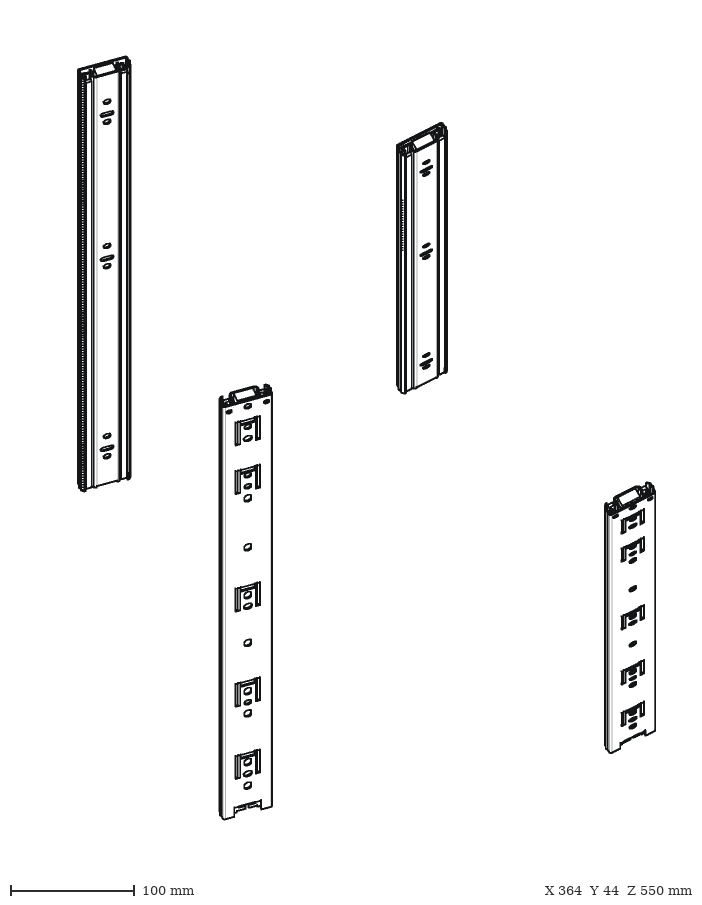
import cadquery as cq

PAIR_WIDTH = 364.0
RAIL_LENGTH = 550.0
TOP = RAIL_LENGTH / 2
BOTTOM = -TOP

SHEET = 1.4
SLIDE_DEPTH = 12.5
RAIL_GAP = 0.3
RACE_START = 4.1
RACE_END = 7.0
RACE_MIDDLE = (RACE_START + RACE_END) / 2

OVERALL_HALF_WIDTH = 22.0
OUTER_RACE_DEPTH = 0.8
OUTER_HALF_WIDTH = OVERALL_HALF_WIDTH - OUTER_RACE_DEPTH
OUTER_BEND = 1.5
LIP = 1.9
OUTER_FLANGE_END = SLIDE_DEPTH - SHEET

MIDDLE_HALF_WIDTH = 17.5
MIDDLE_WEB = SHEET + RAIL_GAP
MIDDLE_BEND = 1.5
MIDDLE_FLANGE_END = OUTER_FLANGE_END
MIDDLE_HEM = 2 * SHEET
INWARD_RACE_DEPTH = 0.65

BALL_CHANNEL = 4.0
INNER_HALF_WIDTH = MIDDLE_HALF_WIDTH - SHEET - BALL_CHANNEL
INNER_BEND = 3.5
INNER_FLANGE_END = MIDDLE_WEB + SHEET + 2 * RAIL_GAP

MIDDLE_TOP = TOP - 5.5
NESTED_BOTTOM = BOTTOM + 3.0
OUTER_NOTCH_HALF_WIDTH = 11.5
OUTER_NOTCH_TOP = BOTTOM + 12.0
NESTED_NOTCH_HALF_WIDTH = 9.0
NESTED_NOTCH_TOP = BOTTOM + 4.5
END_WINDOW_HALF_WIDTH = 7.0
END_WINDOW_BOTTOM = BOTTOM + 8.0
END_WINDOW_TOP = BOTTOM + 10.5
END_SLIT_WIDTH = 3.0

TONGUE_TOPS = (250.0, 185.5, 28.5, -98.5, -194.5)
TONGUE_HEIGHT = 30.0
TONGUE_HALF_WIDTH = 8.0
TONGUE_SLOT_WIDTH = 2.0
TONGUE_BEVEL = 1.5
TONGUE_BEVEL_DEPTH = 0.8
WINDOW_HALF_WIDTH = 6.0
WINDOW_HEIGHT = 5.5

MOUNTING_DIAMETER = 6.0
ROUND_HOLE_HEIGHTS = (268.0, 240.5, 176.0, 161.0, -127.0)
WIDE_HOLE_DIAMETER = 7.0
WIDE_HOLE_HEIGHTS = (225.0, 1.0, -222.0)
SLOT_LENGTH = 9.0
SLOT_HEIGHTS = (145.0, 80.0, 16.0, -48.0, -112.0, -142.0, -207.0, -238.0)
CORNER_HOLE_DIAMETER = 4.5
CORNER_HOLE_OFFSET = 16.0
CORNER_HOLE_HEIGHT = 267.5

INNER_GROUP_TOPS = (238.5, 46.0, -207.5)
CROSS_SLOT_DROP = 16.5
LOWER_HOLE_DROP = 27.0
INNER_HOLE_DIAMETER = 6.0
CROSS_SLOT_LENGTH = 11.0
CROSS_SLOT_WIDTH = 5.0

STOP_HALF_WIDTH = 8.0
STOP_LENGTH = 11.0


def box(x_range, y_range, z_range):
    """Axis-aligned block between the given limits."""
    (x0, x1), (y0, y1), (z0, z1) = x_range, y_range, z_range
    return cq.Workplane("XY").box(x1 - x0, y1 - y0, z1 - z0, centered=False).translate((x0, y0, z0))


def web_cutter(points, diameter):
    """Round cutters along X through a whole slide, at (y, z) points."""
    return cq.Workplane("YZ").pushPoints(points).circle(diameter / 2).extrude(SLIDE_DEPTH)


def slot_cutter(points, length, width, angle):
    """Rounded slot cutters along X through a whole slide; angle 0 lies along Y, 90 along Z."""
    return cq.Workplane("YZ").pushPoints(points).slot2D(length, width, angle).extrude(SLIDE_DEPTH)


def half_channel(web, end, half_width, race_depth, bottom, top):
    """+Y half of a channel rail, with its web face at x = web and its flange reaching x = end."""
    opens_forward = end > web
    web_inside = web + SHEET if opens_forward else web - SHEET
    near, far = (RACE_START, RACE_END) if opens_forward else (RACE_END, RACE_START)
    inner_half_width = half_width - SHEET
    return (
        cq.Workplane("XY", origin=(0, 0, bottom))
        .moveTo(web, 0)
        .lineTo(web, half_width)
        .lineTo(near, half_width)
        .threePointArc((RACE_MIDDLE, half_width + race_depth), (far, half_width))
        .lineTo(end, half_width)
        .lineTo(end, inner_half_width)
        .lineTo(far, inner_half_width)
        .threePointArc((RACE_MIDDLE, inner_half_width + race_depth), (near, inner_half_width))
        .lineTo(web_inside, inner_half_width)
        .lineTo(web_inside, 0)
        .close()
        .extrude(top - bottom)
    )


def both_halves(half):
    """A +Y half together with its mirror image."""
    return half.union(half.mirror("XZ"))


def round_web_corners(rail, web_side, radius):
    """Bend radius along the two outside corners of the web."""
    return rail.faces(web_side).edges("|Z").fillet(radius)


def lip():
    """Inclined free edge of the outer rail's +Y flange, turned inwards at 45 degrees."""
    start = OUTER_FLANGE_END - LIP
    corners = [
        (start, OUTER_HALF_WIDTH),
        (OUTER_FLANGE_END, OUTER_HALF_WIDTH - LIP),
        (OUTER_FLANGE_END, OUTER_HALF_WIDTH - LIP - SHEET),
        (start, OUTER_HALF_WIDTH - SHEET),
    ]
    return cq.Workplane("XY", origin=(0, 0, BOTTOM)).polyline(corners).close().extrude(RAIL_LENGTH)


def end_notch(half_width, top):
    """Notch through a web, open at its lower end."""
    return box((0, SLIDE_DEPTH), (-half_width, half_width), (BOTTOM, top))


def nested_notch():
    """Wide shallow notch in the lower end of the middle and inner webs."""
    return end_notch(NESTED_NOTCH_HALF_WIDTH, NESTED_NOTCH_TOP)


def tongue_cutter(top):
    """Slots beside one tongue, the bevels of its long edges, and the window at its top."""
    bottom = top - TONGUE_HEIGHT
    slot_outside = TONGUE_HALF_WIDTH + TONGUE_SLOT_WIDTH
    slot_section = [
        (0, slot_outside),
        (SHEET, slot_outside),
        (SHEET, TONGUE_HALF_WIDTH),
        (TONGUE_BEVEL_DEPTH, TONGUE_HALF_WIDTH),
        (0, TONGUE_HALF_WIDTH - TONGUE_BEVEL),
    ]
    slot = cq.Workplane("XY", origin=(0, 0, bottom)).polyline(slot_section).close().extrude(TONGUE_HEIGHT)
    window = box((0, SHEET), (-WINDOW_HALF_WIDTH, WINDOW_HALF_WIDTH), (top - WINDOW_HEIGHT, top))
    return both_halves(slot).union(window)


def on_centre(heights):
    """Points on the web's centre line at the given heights."""
    return [(0, height) for height in heights]


def make_outer_rail():
    half = half_channel(0, OUTER_FLANGE_END - LIP, OUTER_HALF_WIDTH, OUTER_RACE_DEPTH, BOTTOM, TOP)
    rail = round_web_corners(both_halves(half.union(lip())), "<X", OUTER_BEND)
    rail = rail.cut(end_notch(OUTER_NOTCH_HALF_WIDTH, OUTER_NOTCH_TOP))
    for top in TONGUE_TOPS:
        rail = rail.cut(tongue_cutter(top))
    rail = rail.cut(web_cutter(on_centre(ROUND_HOLE_HEIGHTS), MOUNTING_DIAMETER))
    rail = rail.cut(web_cutter(on_centre(WIDE_HOLE_HEIGHTS), WIDE_HOLE_DIAMETER))
    rail = rail.cut(slot_cutter(on_centre(SLOT_HEIGHTS), SLOT_LENGTH, MOUNTING_DIAMETER, 90))
    corner_holes = [(side * CORNER_HOLE_OFFSET, CORNER_HOLE_HEIGHT) for side in (-1, 1)]
    return rail.cut(web_cutter(corner_holes, CORNER_HOLE_DIAMETER))


def make_middle_rail():
    half = half_channel(
        MIDDLE_WEB, MIDDLE_FLANGE_END, MIDDLE_HALF_WIDTH, -INWARD_RACE_DEPTH, NESTED_BOTTOM, MIDDLE_TOP
    )
    hem = box(
        (MIDDLE_FLANGE_END - MIDDLE_HEM, MIDDLE_FLANGE_END),
        (INNER_HALF_WIDTH + RAIL_GAP, MIDDLE_HALF_WIDTH - SHEET),
        (NESTED_BOTTOM, MIDDLE_TOP),
    )
    rail = round_web_corners(both_halves(half.union(hem)), "<X", MIDDLE_BEND)
    window = box(
        (MIDDLE_WEB, MIDDLE_WEB + SHEET),
        (-END_WINDOW_HALF_WIDTH, END_WINDOW_HALF_WIDTH),
        (END_WINDOW_BOTTOM, END_WINDOW_TOP),
    )
    slit = end_notch(END_SLIT_WIDTH / 2, END_WINDOW_BOTTOM)
    return rail.cut(nested_notch()).cut(window).cut(slit)


def make_inner_rail():
    half = half_channel(
        SLIDE_DEPTH, INNER_FLANGE_END, INNER_HALF_WIDTH, -INWARD_RACE_DEPTH, NESTED_BOTTOM, TOP
    )
    rail = round_web_corners(both_halves(half), ">X", INNER_BEND)
    rail = rail.cut(nested_notch())
    hole_heights = [top - drop for top in INNER_GROUP_TOPS for drop in (0, LOWER_HOLE_DROP)]
    cross_slot_heights = [top - CROSS_SLOT_DROP for top in INNER_GROUP_TOPS]
    rail = rail.cut(web_cutter(on_centre(hole_heights), INNER_HOLE_DIAMETER))
    return rail.cut(slot_cutter(on_centre(cross_slot_heights), CROSS_SLOT_LENGTH, CROSS_SLOT_WIDTH, 0))


def make_end_stop():
    between_webs = (MIDDLE_WEB + SHEET, SLIDE_DEPTH - SHEET)
    return box(between_webs, (-STOP_HALF_WIDTH, STOP_HALF_WIDTH), (TOP - STOP_LENGTH, TOP))


bodies = []
for make_body in (make_outer_rail, make_middle_rail, make_inner_rail, make_end_stop):
    left_body = make_body().translate((-PAIR_WIDTH / 2, 0, 0))
    right_body = left_body.mirror("YZ")
    bodies += [left_body.val(), right_body.val()]

result = cq.Compound.makeCompound(bodies)